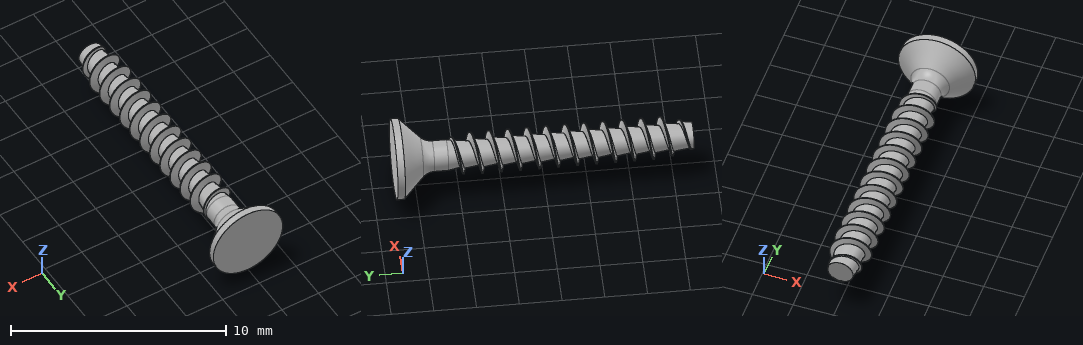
import cadquery as cq
import math


length = 14.0

head_radius = 1.9
head_rim = 0.35
head_angle = math.radians(45)

shank_radius = 0.725
neck_fillet = 0.77
shank_end = 2.5

taper_end = 3.4
taper_end_radius = 0.56

pitch = 0.89
crest_radius = 0.985
crest_width = 0.05
flank_angle = math.radians(15)
core_high_radius = 0.685
core_low_radius = 0.59
thread_start = 2.42
thread_start_angle = math.radians(-90)
lead_in_turns = 1.0
full_turns = 10.5
run_out_turns = 1.5
lead_in_radius = 0.72
run_out_radius = 0.63
ridge_turns = lead_in_turns + full_turns + run_out_turns

rod_first_turn = -1
rod_last_turn = round(ridge_turns) + 1
trim_length = 3 * pitch
steps_per_turn = 24


def make_body():
    """Head, neck, shank and taper revolved about Y."""
    cone_end_radius = shank_radius + neck_fillet * (1 - math.cos(head_angle))
    cone_end = head_rim + (head_radius - cone_end_radius) / math.tan(head_angle)
    neck_end = cone_end + neck_fillet * math.sin(head_angle)
    half_angle = head_angle / 2
    neck_middle = (
        shank_radius + neck_fillet * (1 - math.cos(half_angle)),
        -(neck_end - neck_fillet * math.sin(half_angle)),
    )
    return (
        cq.Workplane("XY")
        .lineTo(head_radius, 0)
        .lineTo(head_radius, -head_rim)
        .lineTo(cone_end_radius, -cone_end)
        .threePointArc(neck_middle, (shank_radius, -neck_end))
        .lineTo(shank_radius, -shank_end)
        .lineTo(taper_end_radius, -taper_end)
        .lineTo(0, -taper_end)
        .close()
        .revolve(360, (0, 0), (0, 1))
    )


def crest_at(turn):
    """Crest radius, changing linearly over the lead-in and the run-out."""
    missing_start = min(1, max(0, 1 - turn / lead_in_turns))
    missing_end = min(1, max(0, 1 - (ridge_turns - turn) / run_out_turns))
    return (
        crest_radius
        - (crest_radius - lead_in_radius) * missing_start
        - (crest_radius - run_out_radius) * missing_end
    )


def flank_offset(turn, radius):
    """Axial distance from the middle of the ridge to its flank at a radius."""
    return crest_width / 2 + (crest_at(turn) - radius) * math.tan(flank_angle)


def rod_section(turn):
    """Corners (radius, axial offset toward the tip) of one turn, from ridge to next ridge."""
    crest = crest_at(turn)
    core_high = min(core_high_radius, crest - crest_width / 2)
    head_root = -flank_offset(turn, core_low_radius)
    next_head_root = pitch - flank_offset(turn + 1, core_low_radius)
    return [
        (0, head_root),
        (core_low_radius, head_root),
        (crest, -crest_width / 2),
        (crest, crest_width / 2),
        (core_high, flank_offset(turn, core_high)),
        (core_low_radius, next_head_root),
        (0, next_head_root),
    ]


def section_points(turn):
    """Section corners in space, a number of turns from the start of the thread."""
    angle = thread_start_angle + 2 * math.pi * turn
    depth = thread_start + pitch * turn
    return [
        cq.Vector(radius * math.cos(angle), -(depth + offset), radius * math.sin(angle))
        for radius, offset in rod_section(turn)
    ]


def turn_faces(turn, is_head_end, is_tip_end):
    """Ruled faces between the curves that neighbouring section corners trace.

    The first and last faces reach the axis and are kept only where they close an end of the rod.
    """
    parameters = [step / steps_per_turn for step in range(steps_per_turn + 1)]
    sections = [section_points(turn + part) for part in parameters]
    curves = [cq.Edge.makeSpline(list(trace), parameters=parameters) for trace in zip(*sections)]
    faces = [cq.Face.makeRuledSurface(a, b) for a, b in zip(curves, curves[1:])]
    first = 0 if is_head_end else 1
    last = len(faces) if is_tip_end else len(faces) - 1
    return faces[first:last]


def make_threaded_rod():
    """Solid helical rod; each turn of its surface joins the next along the root of the ridge."""
    faces = []
    for turn in range(rod_first_turn, rod_last_turn):
        faces += turn_faces(turn, turn == rod_first_turn, turn == rod_last_turn - 1)
    for end_turn in (rod_first_turn, rod_last_turn):
        outline = cq.Wire.makePolygon(section_points(end_turn), close=True)
        faces.append(cq.Face.makeFromWires(outline))
    return cq.Workplane(cq.Solid.makeSolid(cq.Shell.makeShell(faces)))


def make_tip_trim():
    """Disc past the tip plane that removes the excess rod."""
    return cq.Workplane("XZ", origin=(0, -length, 0)).circle(head_radius).extrude(trim_length)


result = make_body().union(make_threaded_rod()).cut(make_tip_trim())